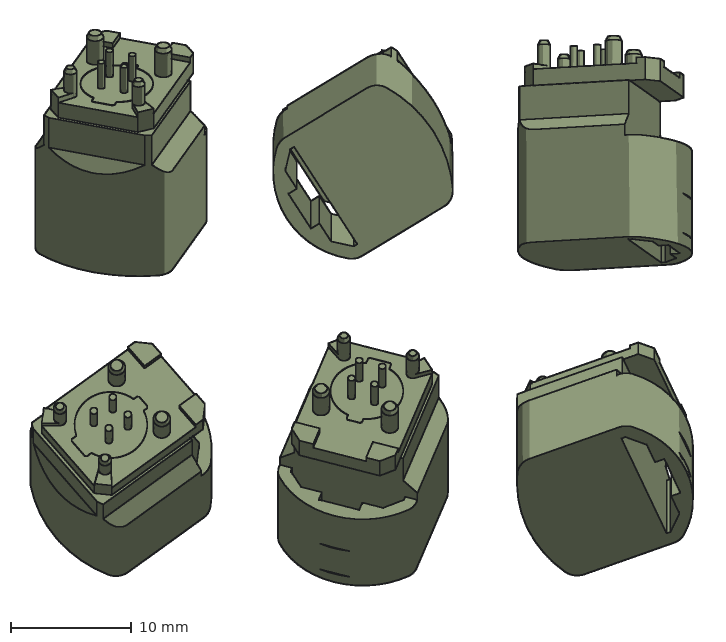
import cadquery as cq
import math

OVERLAP = 0.18

half_width = 6.0
front_y = -5.67
back_y = 8.59
front_radius = 10.98
back_radius = 7.5
corner_radius = 1.6
front_flat_half_width = 0.23

rear_height = 8.62
shoulder_low = 9.52
shoulder_high = 10.67
collar_top = 13.52

collar_half_width = 4.75
collar_front_y = -4.82
step_y = 4.8

opening_half_width = 4.93
opening_chamfer = 1.35
opening_back_y = 6.51
notch_half_width = 1.76
notch_back_y = 7.34

flat_depth = 0.1
flat_low = 1.07
flat_high = 4.4

flange_half_width = 4.52
flange_back_y = 7.16
flange_chamfer = 1.02
flange_top = 14.95
lug_top = 15.42
rear_lug_inner_x = 2.3
rear_lug_front_y = 5.39
front_lug_near = 2.57
front_lug_far = 3.3

insert_radius = 3.01
insert_top = 15.0
key_chamfer = 0.12
back_key_half_width = 0.67
back_key_y = 3.43
front_key_half_width = 1.0
front_key_y = -3.45

post_pitch = 6.0
post_top = 17.6
post_bevel_width = 0.2
post_bevel_height = 0.39
back_post_radius = 0.7
front_post_radius = 0.53
contact_pitch = 2.0
contact_radius = 0.3
contact_top = 17.4


def block(x0, x1, y0, y1, z0, z1):
    """Box between two opposite corners."""
    return cq.Workplane("XY").box(x1 - x0, y1 - y0, z1 - z0, centered=False).translate((x0, y0, z0))


def prism(points, z0, z1):
    """Vertical prism over a closed polygon."""
    return cq.Workplane("XY").workplane(offset=z0).polyline(points).close().extrude(z1 - z0)


def mirrored_pair(solid):
    """A solid together with its mirror image across the YZ plane."""
    return solid.union(solid.mirror("YZ"))


def front_arc(x):
    """Point on the front arc of the housing at a given x."""
    return x, front_y + front_radius - math.sqrt(front_radius**2 - x**2)


def back_arc(x):
    """Point on the back arc of the housing at a given x."""
    return x, back_y - back_radius + math.sqrt(back_radius**2 - x**2)


def housing_blank():
    """Full-height housing: two straight sides, bowed front and back, rounded corners."""
    arc_middle = (half_width + front_flat_half_width) / 2
    outline = (
        cq.Workplane("XY")
        .moveTo(*front_arc(-front_flat_half_width))
        .lineTo(*front_arc(front_flat_half_width))
        .threePointArc(front_arc(arc_middle), front_arc(half_width))
        .lineTo(*back_arc(half_width))
        .threePointArc(back_arc(0), back_arc(-half_width))
        .lineTo(*front_arc(-half_width))
        .threePointArc(front_arc(-arc_middle), front_arc(-front_flat_half_width))
        .close()
    )
    blank = outline.extrude(collar_top)
    return blank.edges("|Z and (<X or >X)").fillet(corner_radius)


def shoulder_cut(collar_face, outer_face, plane, start, length):
    """Material outside one collar face, bounded below by the sloped shoulder."""
    slope = (shoulder_high - shoulder_low) / (outer_face - collar_face)
    beyond = outer_face + math.copysign(OVERLAP, outer_face)
    low_end = shoulder_high - slope * (beyond - collar_face)
    points = [
        (collar_face, shoulder_high),
        (beyond, low_end),
        (beyond, collar_top + OVERLAP),
        (collar_face, collar_top + OVERLAP),
    ]
    return cq.Workplane(plane, origin=start).polyline(points).close().extrude(length)


def rear_opening():
    """Vertical opening with chamfered back corners and a wide shallow notch in its back wall."""
    chamfer_x = opening_half_width - opening_chamfer
    chamfer_y = opening_back_y - opening_chamfer
    outline = [
        (opening_half_width, step_y),
        (opening_half_width, chamfer_y),
        (chamfer_x, opening_back_y),
        (-chamfer_x, opening_back_y),
        (-opening_half_width, chamfer_y),
        (-opening_half_width, step_y),
    ]
    notch = block(-notch_half_width, notch_half_width, step_y, notch_back_y, 0, rear_height)
    return prism(outline, 0, rear_height).union(notch)


def housing():
    """Housing with shoulders, low rear part, opening and back flat."""
    length_y = back_y - front_y
    side = shoulder_cut(collar_half_width, half_width, "XZ", (0, back_y, 0), length_y)
    front = shoulder_cut(collar_front_y, front_y, "YZ", (-half_width, 0, 0), 2 * half_width)
    rear_step = block(-half_width, half_width, step_y, back_y, rear_height, collar_top)
    back_flat = block(-half_width, half_width, back_y - flat_depth, back_y, flat_low, flat_high)
    body = housing_blank().cut(mirrored_pair(side)).cut(front).cut(rear_step)
    return body.cut(rear_opening()).cut(back_flat)


def flange():
    """Plate with chamfered corners, raised at each corner by a lug."""
    blank = block(
        -flange_half_width, flange_half_width, -flange_half_width, flange_back_y, collar_top, lug_top
    )
    blank = blank.edges("|Z").chamfer(flange_chamfer)
    rear_lug = block(
        rear_lug_inner_x, flange_half_width, rear_lug_front_y, flange_back_y, collar_top, lug_top
    )
    chamfer_end = flange_half_width - flange_chamfer
    front_lug = prism(
        [
            (chamfer_end, -flange_half_width),
            (flange_half_width, -chamfer_end),
            (front_lug_far, -front_lug_near),
            (front_lug_near, -front_lug_far),
        ],
        collar_top,
        lug_top,
    )
    plate = block(
        -flange_half_width, flange_half_width, -flange_half_width, flange_back_y, collar_top, flange_top
    )
    keep = plate.union(mirrored_pair(rear_lug)).union(mirrored_pair(front_lug))
    return blank.intersect(keep)


def insert_key(key_half_width, end_y):
    """Key from the insert axis to end_y, with its outer corners chamfered."""
    low_y, high_y = sorted((0, end_y))
    key = block(-key_half_width, key_half_width, low_y, high_y, flange_top - OVERLAP, insert_top)
    outer_end = ">Y" if end_y > 0 else "<Y"
    return key.faces(outer_end).edges("|Z").chamfer(key_chamfer)


def insert():
    """Thin round insert standing slightly above the plate."""
    base = flange_top - OVERLAP
    disc = cq.Workplane("XY").workplane(offset=base).circle(insert_radius).extrude(insert_top - base)
    disc = disc.union(insert_key(back_key_half_width, back_key_y))
    return disc.union(insert_key(front_key_half_width, front_key_y))


def pin(x, y, radius, top):
    """Round pin standing on the plate."""
    base = flange_top - OVERLAP
    return cq.Workplane("XY", origin=(x, y, base)).circle(radius).extrude(top - base)


def post(x, y, radius):
    """Locating post with a bevelled tip."""
    return pin(x, y, radius, post_top).faces(">Z").chamfer(post_bevel_height, post_bevel_width)


result = housing().union(flange()).union(insert())
for x_sign in (-1, 1):
    post_x = x_sign * post_pitch / 2
    result = result.union(post(post_x, post_pitch / 2, back_post_radius))
    result = result.union(post(post_x, -post_pitch / 2, front_post_radius))
    for y_sign in (-1, 1):
        contact_x = x_sign * contact_pitch / 2
        contact_y = y_sign * contact_pitch / 2
        result = result.union(pin(contact_x, contact_y, contact_radius, contact_top))